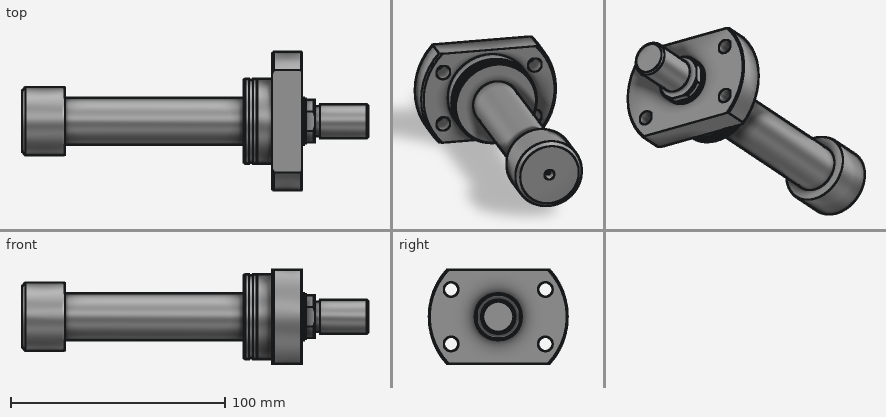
import cadquery as cq
import math

total_length = 162.0
piston_length = 20.1
gland_start = 103.5
flange_start = 116.8
flange_thickness = 14.1
flange_end = flange_start + flange_thickness
rod_overhang = 1.0
rod_length = flange_end + rod_overhang

piston_diameter = 32.0
piston_front_chamfer_length = 1.6
piston_front_chamfer_depth = 2.0
piston_back_chamfer_length = 1.0
piston_back_chamfer_depth = 0.25
rod_diameter = 22.0
centre_cone_diameter = 4.7
centre_cone_angle = 60.0
centre_pilot_diameter = 1.6
centre_hole_depth = 4.9

spigot_diameter = 39.9
spigot_chamfer_length = 1.0
spigot_chamfer_depth = 0.6
seal_groove_offset = 2.6
seal_groove_width = 2.0
seal_groove_depth = 0.5
relief_groove_offset = 6.0
relief_groove_width = 0.5
relief_groove_depth = 0.3
flange_diameter = 65.0
flange_width = 44.0
flange_front_chamfer = 1.0
flange_back_chamfer = 0.5
bolt_hole_diameter = 6.6
bolt_circle_diameter = 50.9
bolt_angle = 30.0

joint_groove_width = 1.0
joint_groove_depth = 0.5
square_across_flats = 20.1
square_length = 4.0
square_chamfer = 0.6
neck_diameter = 14.3
neck_length = 2.5
neck_fillet = 0.5
stud_diameter = 16.0
stud_chamfer = 1.0


def cylinder(start, length, diameter):
    """Cylinder on the X axis that begins at the given station."""
    return cq.Workplane("YZ", origin=(start, 0, 0)).circle(diameter / 2).extrude(length)


def ring_groove(start, width, outer_diameter, depth):
    """Ring that, cut from a cylinder, leaves a rectangular groove around it."""
    groove_floor = cylinder(start, width, outer_diameter - 2 * depth)
    return cylinder(start, width, outer_diameter).cut(groove_floor)


def make_piston_rod():
    """Piston and rod in one piece, with a centre-drilled piston face."""
    piston = cylinder(0, piston_length, piston_diameter)
    piston = piston.faces("<X").edges().chamfer(piston_front_chamfer_length, piston_front_chamfer_depth)
    piston = piston.faces(">X").edges().chamfer(piston_back_chamfer_length, piston_back_chamfer_depth)
    rod = cylinder(piston_length, rod_length - piston_length, rod_diameter)
    return (
        piston.union(rod)
        .faces("<X").workplane()
        .cskHole(centre_pilot_diameter, centre_cone_diameter, centre_cone_angle, centre_hole_depth)
    )


def make_gland():
    """Flanged gland bored to let the rod through."""
    spigot = cylinder(gland_start, flange_start - gland_start, spigot_diameter)
    spigot = spigot.faces("<X").edges().chamfer(spigot_chamfer_length, spigot_chamfer_depth)
    seal_groove = ring_groove(
        gland_start + seal_groove_offset, seal_groove_width, spigot_diameter, seal_groove_depth
    )
    relief_groove = ring_groove(
        gland_start + relief_groove_offset, relief_groove_width, spigot_diameter, relief_groove_depth
    )

    flange = cylinder(flange_start, flange_thickness, flange_diameter)
    flange = flange.faces("<X").chamfer(flange_front_chamfer)
    flange = flange.faces(">X").chamfer(flange_back_chamfer)
    flat_sides = cq.Workplane("YZ", origin=(flange_start, 0, 0))
    flat_sides = flat_sides.rect(flange_diameter, flange_width).extrude(flange_thickness)
    flange = flange.intersect(flat_sides)

    bolt_y = bolt_circle_diameter / 2 * math.cos(math.radians(bolt_angle))
    bolt_z = bolt_circle_diameter / 2 * math.sin(math.radians(bolt_angle))
    bolt_holes = (
        cq.Workplane("YZ", origin=(flange_start, 0, 0))
        .rect(2 * bolt_y, 2 * bolt_z, forConstruction=True)
        .vertices()
        .circle(bolt_hole_diameter / 2)
        .extrude(flange_thickness)
    )
    rod_bore = cylinder(gland_start, flange_end - gland_start, rod_diameter)

    gland = spigot.cut(seal_groove).cut(relief_groove).union(flange)
    return gland.cut(bolt_holes).cut(rod_bore)


def make_rod_end():
    """Rod end with a wrench square, neck and stud, butted against the end of the rod."""
    square_start = rod_length + joint_groove_width
    neck_start = square_start + square_length
    stud_start = neck_start + neck_length

    joint = cylinder(rod_length, joint_groove_width, rod_diameter - 2 * joint_groove_depth)
    collar = cylinder(square_start, square_length, rod_diameter).faces(">X").chamfer(square_chamfer)
    flats = cq.Workplane("YZ", origin=(square_start, 0, 0))
    flats = flats.rect(square_across_flats, square_across_flats).extrude(square_length)
    neck = cylinder(neck_start, neck_length, neck_diameter)
    stud = cylinder(stud_start, total_length - stud_start, stud_diameter).faces(">X").chamfer(stud_chamfer)
    rod_end = joint.union(collar.intersect(flats)).union(neck).union(stud)

    neck_ends = cq.selectors.BoxSelector(
        (neck_start - neck_fillet, -neck_diameter, -neck_diameter),
        (stud_start + neck_fillet, neck_diameter, neck_diameter),
    )
    neck_corners = cq.selectors.RadiusNthSelector(0)
    return rod_end.edges(neck_ends).edges("%CIRCLE").edges(neck_corners).fillet(neck_fillet)


piston_rod = make_piston_rod()
gland = make_gland()
rod_end = make_rod_end()
result = cq.Compound.makeCompound([body.solids().val() for body in (piston_rod, gland, rod_end)])